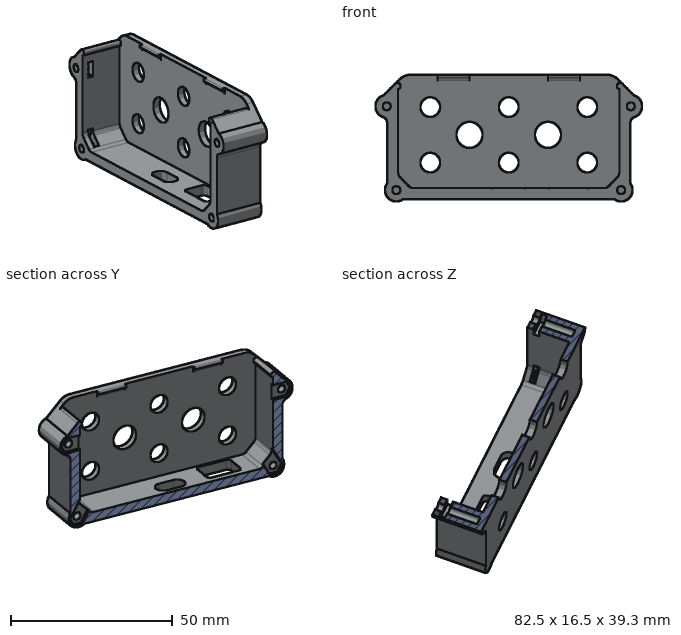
import cadquery as cq
import math


width = 82.5
depth = 16.5
height = 39.3
plate_thickness = 2.5

boss_radius = 3.55
upper_boss_x = width / 2 - boss_radius
upper_boss_z = 29.45
lower_boss_x = 34.7
lower_boss_z = boss_radius
outer_half_width = 37.6
outer_bottom = 0.7
top_half_width = 32.3
top_corner_radius = 4.95
boss_blend_radius = 1.8

wall_thickness = 3.5
inner_half_width = outer_half_width - wall_thickness
floor_z = outer_bottom + wall_thickness
cavity_chamfer = 4.0
cavity_fillet = 2.0
tip_radius = 1.0
tip_x = 34.4

screw_hole_diameter = 2.5
nut_width = 5.0
nut_slot_length = 9.9
nut_slot_thickness = 1.8
nut_slot_to_rim = 2.15
lower_nut_angle = 60

small_hole_diameter = 6.0
large_hole_diameter = 8.0
hole_pitch_x = 24.25
hole_pitch_z = 8.6
hole_center_z = 20.6

slot_length = 10.0
slot_width = 5.0
slot_from_back = 9.5
window_x = 18.5
window_length = 12.0
window_width = 8.0
window_from_back = 7.3
window_corner_radius = 1.2

bead_x = 17.1
bead_length = 10.0
bead_radius = 0.5
bead_root_radius = 1.0

shoulder_sum = top_half_width + height
shoulder_offset = (shoulder_sum - upper_boss_x - upper_boss_z) / 2
tip_z = shoulder_sum - tip_x - tip_radius * math.sqrt(2)

SIDES = (-1, 1)


def cylinder(x, z, radius, length, start=0.0):
    """Cylinder along Y that runs forward from the given distance in front of the back face."""
    return cq.Workplane("XZ", origin=(0, -start, 0)).center(x, z).circle(radius).extrude(length)


def boss_blend(side):
    """Concave blend under an upper boss, tangent to the boss and the side wall."""
    center_x = outer_half_width + boss_blend_radius
    reach = boss_radius + boss_blend_radius
    drop = math.sqrt(reach**2 - (center_x - upper_boss_x) ** 2)
    center_z = upper_boss_z - drop
    web = (
        cq.Workplane("XZ")
        .polyline(
            [
                (side * upper_boss_x, upper_boss_z),
                (side * center_x, center_z),
                (side * inner_half_width, center_z),
                (side * inner_half_width, upper_boss_z),
            ]
        )
        .close()
        .extrude(depth)
    )
    return web.cut(cylinder(side * center_x, center_z, boss_blend_radius, depth))


def make_outer_block():
    block = (
        cq.Workplane("XZ")
        .polyline(
            [
                (-lower_boss_x, outer_bottom),
                (lower_boss_x, outer_bottom),
                (outer_half_width, lower_boss_z),
                (outer_half_width, upper_boss_z),
                (upper_boss_x + shoulder_offset, upper_boss_z + shoulder_offset),
                (top_half_width, height),
                (-top_half_width, height),
                (-upper_boss_x - shoulder_offset, upper_boss_z + shoulder_offset),
                (-outer_half_width, upper_boss_z),
                (-outer_half_width, lower_boss_z),
            ]
        )
        .close()
        .extrude(depth)
        .edges("|Y and >Z")
        .fillet(top_corner_radius)
    )
    for side in SIDES:
        block = block.union(cylinder(side * upper_boss_x, upper_boss_z, boss_radius, depth))
        block = block.union(cylinder(side * lower_boss_x, lower_boss_z, boss_radius, depth))
        block = block.union(boss_blend(side))
    return block


def make_cavity():
    """Cavity in front of the back plate, open at the rim and at the top."""
    cavity_depth = depth - plate_thickness
    chamfer_x = inner_half_width - cavity_chamfer
    pocket = (
        cq.Workplane("XZ", origin=(0, -plate_thickness, 0))
        .polyline(
            [
                (-inner_half_width, tip_z),
                (-inner_half_width, floor_z + cavity_chamfer),
                (-chamfer_x, floor_z),
                (chamfer_x, floor_z),
                (inner_half_width, floor_z + cavity_chamfer),
                (inner_half_width, tip_z),
            ]
        )
        .close()
        .extrude(cavity_depth)
        .edges("|Y and (not >Z)")
        .fillet(cavity_fillet)
    )
    flare = height - tip_z
    opening = (
        cq.Workplane("XZ", origin=(0, -plate_thickness, 0))
        .polyline(
            [
                (-tip_x, tip_z),
                (tip_x, tip_z),
                (tip_x + flare, height),
                (-tip_x - flare, height),
            ]
        )
        .close()
        .extrude(cavity_depth)
    )
    cavity = pocket.union(opening)
    for side in SIDES:
        cavity = cavity.cut(cylinder(side * tip_x, tip_z, tip_radius, cavity_depth, plate_thickness))
    return cavity


def nut_slot(x, z, angle):
    """Hexagonal nut seat around a screw hole, with a channel led out into the cavity.

    The channel runs at the given angle from the +X axis toward +Z.
    """
    start = depth - nut_slot_to_rim - nut_slot_thickness
    corner_diameter = nut_width / math.cos(math.pi / 6)
    nut = (
        cq.Workplane("XZ", origin=(x, -start, z))
        .polygon(6, corner_diameter)
        .extrude(nut_slot_thickness)
    )
    channel = (
        cq.Workplane("XZ", origin=(x, -start, z))
        .center(nut_slot_length / 2, 0)
        .rect(nut_slot_length, nut_width)
        .extrude(nut_slot_thickness)
    )
    return nut.union(channel).rotate((x, 0, z), (x, -1, z), angle)


def cut_fastenings(body):
    """Blind screw holes that stop at the back plate, each with a nut slot open to the cavity."""
    hole_length = depth - plate_thickness
    hole_radius = screw_hole_diameter / 2
    bosses = (
        (upper_boss_x, upper_boss_z, 0),
        (lower_boss_x, lower_boss_z, lower_nut_angle),
    )
    for side in SIDES:
        for boss_x, boss_z, left_angle in bosses:
            x = side * boss_x
            slot_angle = 180 - left_angle if side > 0 else left_angle
            body = body.cut(cylinder(x, boss_z, hole_radius, hole_length, plate_thickness))
            body = body.cut(nut_slot(x, boss_z, slot_angle))
    return body


def cut_plate_holes(body):
    for column in (-1, 0, 1):
        for row in (-1, 1):
            x = column * hole_pitch_x
            z = hole_center_z + row * hole_pitch_z
            body = body.cut(cylinder(x, z, small_hole_diameter / 2, plate_thickness))
    for side in SIDES:
        x = side * hole_pitch_x / 2
        body = body.cut(cylinder(x, hole_center_z, large_hole_diameter / 2, plate_thickness))
    return body


def cut_floor_openings(body):
    slot = (
        cq.Workplane("XY")
        .center(0, -slot_from_back)
        .slot2D(slot_length, slot_width)
        .extrude(floor_z)
    )
    window = (
        cq.Workplane("XY")
        .center(window_x, -window_from_back)
        .rect(window_length, window_width)
        .extrude(floor_z)
        .edges("|Z")
        .fillet(window_corner_radius)
    )
    return body.cut(slot).cut(window)


def snap_bead(x):
    """Rounded bead flush with the top edge, with a concave root that is tangent to bead and plate."""
    nose_y = -plate_thickness - bead_radius
    nose_z = height - bead_radius
    root_y = -plate_thickness - bead_root_radius
    reach = bead_radius + bead_root_radius
    root_z = nose_z - math.sqrt(reach**2 - (root_y - nose_y) ** 2)
    share = bead_radius / reach
    meet_y = nose_y + share * (root_y - nose_y)
    meet_z = nose_z + share * (root_z - nose_z)
    root_angle = math.atan2(nose_z - root_z, nose_y - root_y) / 2
    return (
        cq.Workplane("YZ", origin=(x - bead_length / 2, 0, 0))
        .moveTo(-plate_thickness, height)
        .lineTo(nose_y, height)
        .threePointArc((nose_y - bead_radius, nose_z), (meet_y, meet_z))
        .threePointArc(
            (
                root_y + bead_root_radius * math.cos(root_angle),
                root_z + bead_root_radius * math.sin(root_angle),
            ),
            (-plate_thickness, root_z),
        )
        .close()
        .extrude(bead_length)
    )


result = make_outer_block().cut(make_cavity())
result = cut_fastenings(result)
result = cut_plate_holes(result)
result = cut_floor_openings(result)
for side in SIDES:
    result = result.union(snap_bead(side * bead_x))